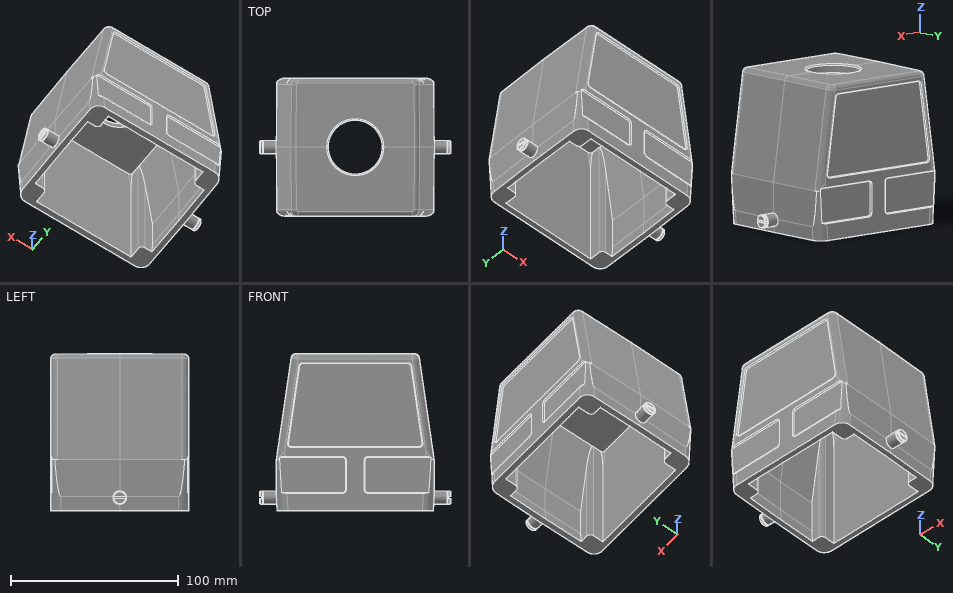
import cadquery as cq
import math

DEPTH = 82.3
HEIGHT = 93.6
PIN_SPAN = 113.79
FOOT_Z = 8.4
SHOULDER_Z = 30.4
FOOT_HALF_WIDTH = 46.6
WAIST_HALF_WIDTH = 47.1
TOP_HALF_WIDTH = 37.9
END_DRAFT = 0.5
ROOF_DRAFT = 0.3
FOOT_CORNER_RADIUS = 6.3
SHOULDER_CORNER_RADIUS = 2.5
UPPER_CORNER_RADIUS = 4.0
ROOF_EDGE_RADIUS = 3.0
ROOF_OVERSHOOT = 1.0

WALL = 4.0
CAVITY_RADIUS = 2.0
ROOF_THICKNESS = 5.4
PILLAR_X = 34.4
PILLAR_Y = 27.0
PILLAR_RADIUS = 2.8

ENTRY_DIAMETER = 32.0
ENTRY_CHAMFER = 1.0

RECESS_DEPTH = 0.9
RECESS_DRAFT = 28.0
RECESS_CORNER_RADIUS = 2.4
LABEL_BOTTOM_Z = 37.7
LABEL_TOP_Z = 88.1
LABEL_SIDE_INSET = 5.4
GRIP_BOTTOM_Z = 10.4
GRIP_TOP_Z = 32.3
GRIP_INNER_X = 5.3
GRIP_OVERRUN = 4.0

PIN_DIAMETER = 8.0
PIN_Z = 7.85
PIN_TIP_CHAMFER = 0.5
PIN_GROOVE_FROM_TIP = 1.7
PIN_GROOVE_WIDTH = 0.5
PIN_GROOVE_DEPTH = 0.1
PIN_SLOT_WIDTH = 1.2
PIN_SLOT_DEPTH = 1.0

HALF_DEPTH = DEPTH / 2
END_SLOPE = math.tan(math.radians(END_DRAFT))
ROOF_SLOPE = math.tan(math.radians(ROOF_DRAFT))
END_LEAN = (WAIST_HALF_WIDTH - TOP_HALF_WIDTH) / (HEIGHT - SHOULDER_Z)


def end_half_width(z):
    """Half width along X of the leaning upper part, on the parting plane."""
    return WAIST_HALF_WIDTH - END_LEAN * (z - SHOULDER_Z)


def section(z, half_width, half_depth, corner_radius):
    """Rounded rectangle at height z whose two ends are slightly peaked at Y = 0."""
    corner_x = half_width - half_depth * END_SLOPE
    outline = cq.Sketch().polygon([
        (half_width, 0),
        (corner_x, half_depth),
        (-corner_x, half_depth),
        (-half_width, 0),
        (-corner_x, -half_depth),
        (corner_x, -half_depth),
        (half_width, 0),
    ])
    rounded = outline.vertices(">Y or <Y").fillet(corner_radius).reset()
    return rounded.wires().val().translate(cq.Vector(0, 0, z))


def ruled_solid(levels, inset=0.0):
    """Straight-sided solid through (z, half width, corner radius) levels, moved inward by inset."""
    wires = [
        section(z, half_width - inset, HALF_DEPTH - inset, radius)
        for z, half_width, radius in levels
    ]
    return cq.Workplane(obj=cq.Solid.makeLoft(wires, True))


def outer_envelope():
    """Hood outside before the roof is shaped; flaring foot corners run out into the upper ones."""
    tall_z = HEIGHT + ROOF_OVERSHOOT
    waist = ruled_solid([
        (0, WAIST_HALF_WIDTH, SHOULDER_CORNER_RADIUS),
        (SHOULDER_Z, WAIST_HALF_WIDTH, SHOULDER_CORNER_RADIUS),
    ])
    upper = ruled_solid([
        (SHOULDER_Z, WAIST_HALF_WIDTH, UPPER_CORNER_RADIUS),
        (tall_z, end_half_width(tall_z), UPPER_CORNER_RADIUS),
    ])
    foot_flare = (WAIST_HALF_WIDTH - FOOT_HALF_WIDTH) / FOOT_Z
    foot = ruled_solid([
        (0, FOOT_HALF_WIDTH, FOOT_CORNER_RADIUS),
        (tall_z, FOOT_HALF_WIDTH + foot_flare * tall_z, FOOT_CORNER_RADIUS),
    ])
    return waist.union(upper).intersect(foot)


def outer_body():
    """Solid hood with a shallow ridge roof and rounded roof edges."""
    eave_z = HEIGHT - HALF_DEPTH * ROOF_SLOPE
    below_roof = (
        cq.Workplane("YZ")
        .polyline([
            (-HALF_DEPTH, 0),
            (HALF_DEPTH, 0),
            (HALF_DEPTH, eave_z),
            (0, HEIGHT),
            (-HALF_DEPTH, eave_z),
        ])
        .close()
        .extrude(WAIST_HALF_WIDTH, both=True)
    )
    body = outer_envelope().intersect(below_roof)
    roof_zone = cq.selectors.BoxSelector(
        (-WAIST_HALF_WIDTH, -DEPTH, eave_z - ROOF_OVERSHOOT),
        (WAIST_HALF_WIDTH, DEPTH, HEIGHT + ROOF_OVERSHOOT),
    )
    ridge_line = cq.selectors.NearestToPointSelector((0, 0, HEIGHT))
    return body.edges(roof_zone - ridge_line).fillet(ROOF_EDGE_RADIUS)


def cavity():
    """Inside of the hood, open at the bottom, with a rounded pillar left in each corner."""
    ceiling_z = HEIGHT - ROOF_THICKNESS
    space = ruled_solid(
        [
            (0, FOOT_HALF_WIDTH, CAVITY_RADIUS),
            (FOOT_Z, WAIST_HALF_WIDTH, CAVITY_RADIUS),
            (SHOULDER_Z, WAIST_HALF_WIDTH, CAVITY_RADIUS),
            (ceiling_z, end_half_width(ceiling_z), CAVITY_RADIUS),
        ],
        inset=WALL,
    )
    pillar_size_x = WAIST_HALF_WIDTH - PILLAR_X
    pillar_size_y = HALF_DEPTH - PILLAR_Y
    for side_x in (-1, 1):
        for side_y in (-1, 1):
            pillar = (
                cq.Workplane("XY")
                .center(side_x * (PILLAR_X + pillar_size_x / 2), side_y * (PILLAR_Y + pillar_size_y / 2))
                .rect(pillar_size_x, pillar_size_y)
                .extrude(HEIGHT)
                .edges("|Z")
                .edges(cq.selectors.NearestToPointSelector((0, 0, HEIGHT / 2)))
                .fillet(PILLAR_RADIUS)
            )
            space = space.cut(pillar)
    return space


def cable_entry():
    """Round opening through the roof with a chamfered rim."""
    radius = ENTRY_DIAMETER / 2
    rim_z = HEIGHT - ENTRY_CHAMFER
    bore = cq.Workplane("XY").workplane(offset=HEIGHT / 2).circle(radius).extrude(HEIGHT / 2)
    rim = cq.Workplane(obj=cq.Solid.makeCone(radius, radius + ENTRY_CHAMFER, ENTRY_CHAMFER))
    return bore.union(rim.translate((0, 0, rim_z)))


def front_recess(corners):
    """Shallow recess in the front face, widest at the surface, with rounded corners."""
    outline = cq.Sketch().polygon(corners + corners[:1]).vertices().fillet(RECESS_CORNER_RADIUS)
    return (
        cq.Workplane("XZ", origin=(0, -HALF_DEPTH, 0))
        .placeSketch(outline)
        .extrude(-RECESS_DEPTH, taper=RECESS_DRAFT)
    )


def face_recesses():
    """Label field and the two grip recesses, on the front and mirrored to the back."""
    label_top_x = end_half_width(LABEL_TOP_Z) - LABEL_SIDE_INSET
    label_bottom_x = end_half_width(LABEL_BOTTOM_Z) - LABEL_SIDE_INSET
    recesses = front_recess([
        (-label_bottom_x, LABEL_BOTTOM_Z),
        (label_bottom_x, LABEL_BOTTOM_Z),
        (label_top_x, LABEL_TOP_Z),
        (-label_top_x, LABEL_TOP_Z),
    ])
    grip_outer_x = WAIST_HALF_WIDTH + GRIP_OVERRUN
    grip = front_recess([
        (GRIP_INNER_X, GRIP_BOTTOM_Z),
        (grip_outer_x, GRIP_BOTTOM_Z),
        (grip_outer_x, GRIP_TOP_Z),
        (GRIP_INNER_X, GRIP_TOP_Z),
    ])
    recesses = recesses.union(grip).union(grip.mirror("YZ"))
    return recesses.union(recesses.mirror("XZ"))


def locking_pin():
    """Pin on the +X end with a chamfered tip, a fine ring groove and a screwdriver slot."""
    radius = PIN_DIAMETER / 2
    tip_x = PIN_SPAN / 2
    root_x = WAIST_HALF_WIDTH - WALL / 2
    groove_outer_x = tip_x - PIN_GROOVE_FROM_TIP
    groove_inner_x = groove_outer_x - PIN_GROOVE_WIDTH
    groove_radius = radius - PIN_GROOVE_DEPTH
    pin = (
        cq.Workplane("XY")
        .polyline([
            (root_x, 0),
            (root_x, radius),
            (groove_inner_x, radius),
            (groove_inner_x, groove_radius),
            (groove_outer_x, groove_radius),
            (groove_outer_x, radius),
            (tip_x - PIN_TIP_CHAMFER, radius),
            (tip_x, radius - PIN_TIP_CHAMFER),
            (tip_x, 0),
        ])
        .close()
        .revolve(360, (0, 0, 0), (1, 0, 0))
    )
    slot = (
        cq.Workplane("XY")
        .box(2 * PIN_SLOT_DEPTH, PIN_DIAMETER, PIN_SLOT_WIDTH)
        .translate((tip_x, 0, 0))
    )
    return pin.cut(slot).translate((0, 0, PIN_Z))


hood = outer_body().cut(cavity()).cut(cable_entry()).cut(face_recesses())
pin = locking_pin()
result = hood.union(pin).union(pin.mirror("YZ"))